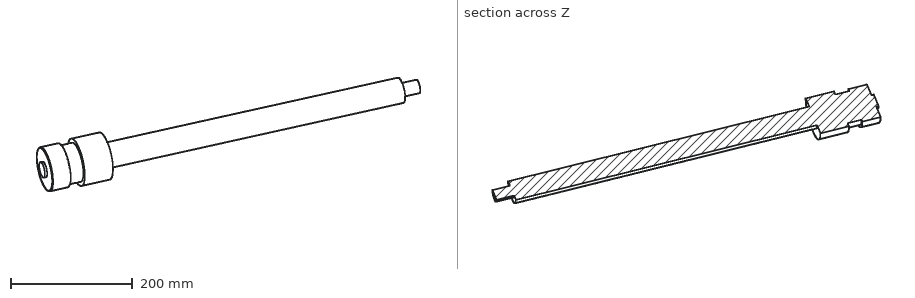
import cadquery as cq

overall_length = 660.0

pin_diameter = 26.5
pin_length = 4.0

knob_diameter = 74.5
knob_length = 32.5
knob_chamfer = 1.0

neck_diameter = 66.0
neck_length = 24.0

collar_diameter = 80.0
collar_length = 49.5

tube_diameter = 43.0

shaft_diameter = 23.0
shaft_length = 30.5

knob_start = pin_length
neck_start = knob_start + knob_length
collar_start = neck_start + neck_length
tube_start = collar_start + collar_length
shaft_start = overall_length - shaft_length


def cylinder_along_y(diameter, start, end):
    """Solid cylinder on the Y axis between two stations."""
    return (
        cq.Workplane("XZ", origin=(0, start, 0))
        .circle(diameter / 2)
        .extrude(start - end)
    )


pin = cylinder_along_y(pin_diameter, 0, knob_start)

knob = cylinder_along_y(knob_diameter, knob_start, neck_start)
knob = knob.faces("<Y").chamfer(knob_chamfer)

neck = cylinder_along_y(neck_diameter, neck_start, collar_start)
collar = cylinder_along_y(collar_diameter, collar_start, tube_start)
tube = cylinder_along_y(tube_diameter, tube_start, shaft_start)
shaft = cylinder_along_y(shaft_diameter, shaft_start, overall_length)

result = pin.union(knob).union(neck).union(collar).union(tube).union(shaft)